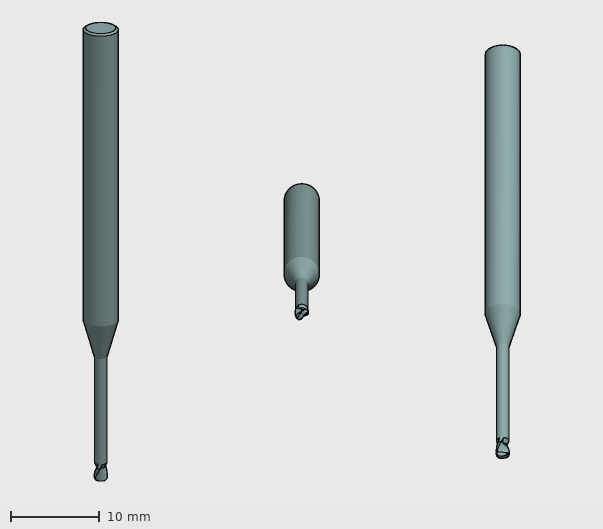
import cadquery as cq
import math

total_length = 55.0
shank_diameter = 4.0
shank_bottom = 19.5
neck_diameter = 1.44
neck_top = 15.0
top_chamfer_radial = 0.3
top_chamfer_height = 0.2

cutter_diameter = 1.5
cutter_length = 1.65
blade_thickness = 0.5
blade_start_angle = 20.0
blade_twist = 68.0
corner_radius = 0.5
tip_dish = 0.05

runout_length = 0.55
runout_core_diameter = 0.9

shank_radius = shank_diameter / 2
neck_radius = neck_diameter / 2
cutter_radius = cutter_diameter / 2
runout_core_radius = runout_core_diameter / 2
runout_top = cutter_length + runout_length


def revolve_about_axis(profile):
    """Turn a closed half profile of the local XY plane about the tool axis."""
    return profile.revolve(360, (0, 0, 0), (0, 1, 0))


def make_turned_shank():
    """Chamfered shank, cone, slim neck and run-out cone as one turned profile."""
    profile = (
        cq.Workplane("YZ")
        .moveTo(0, cutter_length)
        .lineTo(-runout_core_radius, cutter_length)
        .lineTo(-neck_radius, runout_top)
        .lineTo(-neck_radius, neck_top)
        .lineTo(-shank_radius, shank_bottom)
        .lineTo(-shank_radius, total_length - top_chamfer_height)
        .lineTo(-(shank_radius - top_chamfer_radial), total_length)
        .lineTo(0, total_length)
        .close()
    )
    return revolve_about_axis(profile)


def make_twisted_blade(bottom, length):
    """Stretch of the helical blade, a flat bar that turns about the axis as it rises."""
    twist_rate = blade_twist / cutter_length
    return (
        cq.Workplane("XY", origin=(0, 0, bottom))
        .rect(2 * cutter_diameter, blade_thickness)
        .twistExtrude(length, twist_rate * length)
        .rotate((0, 0, 0), (0, 0, 1), blade_start_angle + twist_rate * bottom)
    )


def make_runout_lands():
    """The two lands that carry on from the cutter up the run-out cone."""
    blade = make_twisted_blade(cutter_length, runout_length)
    neck_end = (
        cq.Workplane("XY", origin=(0, 0, cutter_length))
        .circle(neck_radius)
        .extrude(runout_length)
    )
    return neck_end.intersect(blade)


def make_cutter_envelope():
    """Turned outline of the cutting edges: rounded corners and a dished end."""
    flat_radius = cutter_radius - corner_radius
    arc_offset = corner_radius * math.sqrt(0.5)
    profile = (
        cq.Workplane("XZ")
        .moveTo(0, tip_dish)
        .lineTo(flat_radius, 0)
        .threePointArc(
            (flat_radius + arc_offset, corner_radius - arc_offset),
            (cutter_radius, corner_radius),
        )
        .lineTo(cutter_radius, cutter_length)
        .lineTo(0, cutter_length)
        .close()
    )
    return revolve_about_axis(profile)


shank = make_turned_shank().union(make_runout_lands())

cutter = make_cutter_envelope().intersect(make_twisted_blade(0, cutter_length))

result = cq.Compound.makeCompound([shank.val(), cutter.val()])